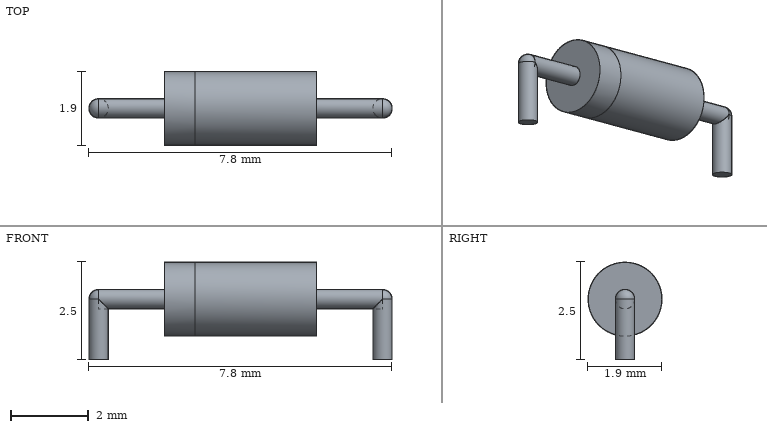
import cadquery as cq

overall_length = 7.8
body_diameter = 1.9
body_length = 3.915
band_length = 0.79
lead_diameter = 0.5
leg_drop = 1.55

lead_radius = lead_diameter / 2
body_end = body_length / 2
band_face = -body_end + band_length
bend_offset = overall_length / 2 - lead_radius


def cylinder_along_x(diameter, x_start, x_end):
    """Round bar on the X axis between two X positions."""
    return cq.Workplane("YZ", origin=(x_start, 0, 0)).circle(diameter / 2).extrude(x_end - x_start)


def make_lead(side):
    """Horizontal wire from the body's end face to the bend centre."""
    return cylinder_along_x(lead_diameter, side * body_end, side * bend_offset)


def make_leg(side, lead):
    """Vertical wire below the bend centre, coped to fit around the lead."""
    leg = cq.Workplane("XY", origin=(side * bend_offset, 0, 0)).circle(lead_radius).extrude(-leg_drop)
    return leg.cut(lead)


def make_elbow(side):
    """Quarter ball that rounds the outside of the bend, above the leg and beyond the lead."""
    ball = cq.Workplane("XY").sphere(lead_radius)
    outer_quadrant = cq.Workplane("XY").box(
        lead_radius, lead_diameter, lead_radius
    ).translate((side * lead_radius / 2, 0, lead_radius / 2))
    return ball.intersect(outer_quadrant).translate((side * bend_offset, 0, 0))


band = cylinder_along_x(body_diameter, -body_end, band_face)
body = cylinder_along_x(body_diameter, band_face, body_end)

wire_solids = []
for side in (-1, 1):
    lead = make_lead(side)
    leg = make_leg(side, lead)
    elbow = make_elbow(side)
    wire_solids += [piece.solids().val() for piece in (lead, leg, elbow)]

result = cq.Compound.makeCompound([band.val(), body.val(), *wire_solids])